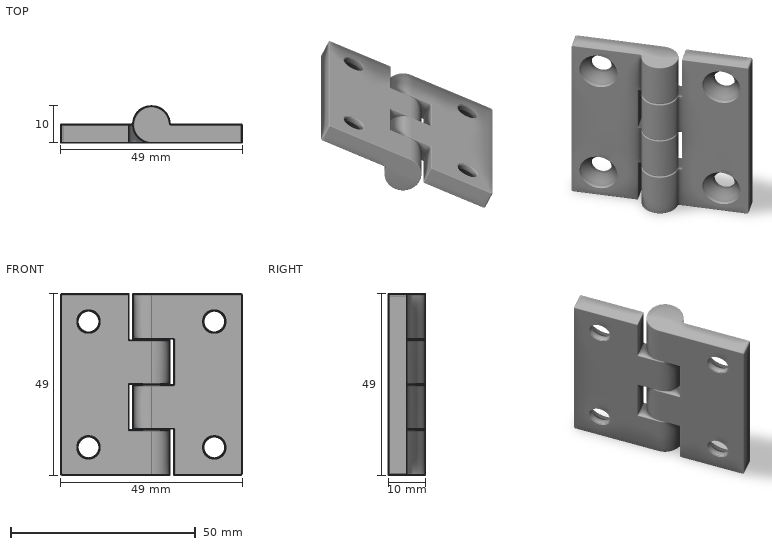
import cadquery as cq
SIDE = 49.0
BARREL_RADIUS = 5.0
LEAF_THICKNESS = BARREL_RADIUS
NOTCH_WALL = 6.1

INNER_KNUCKLE_START = 0.1
INNER_KNUCKLE_END = 12.0
OUTER_KNUCKLE_START = 12.3

PIN_RADIUS = 2.5
PIN_END_COVER = 1.95

HOLE_SPACING = 34.0
HOLE_RADIUS = 2.9
HEAD_RADIUS = 5.25
HEAD_DEPTH = 1.05

CORNER_RADIUS = 0.5
ROOT_RADIUS = 0.5
EDGE_RADIUS = 0.2

HALF = SIDE / 2
FRONT = -BARREL_RADIUS
BACK = FRONT + LEAF_THICKNESS
PIN_HALF_LENGTH = HALF - PIN_END_COVER
HOLE_OFFSET = HOLE_SPACING / 2
SELECTION_MARGIN = 0.05


def cylinder_on_axis(radius, z_start, z_end):
    """Cylinder around the hinge axis."""
    return cq.Workplane("XY").workplane(offset=z_start).circle(radius).extrude(z_end - z_start)


def slab(x_start, z_start, z_end):
    """Flat piece of the leaf from x_start to its outer side."""
    size = (HALF - x_start, LEAF_THICKNESS, z_end - z_start)
    return cq.Workplane("XY").box(*size, centered=False).translate((x_start, FRONT, z_start))


def edges_between(direction, x_start, x_end):
    """Selector for straight edges along a direction with their middle between two X positions."""
    low = (x_start - SELECTION_MARGIN, FRONT - SELECTION_MARGIN, -SIDE)
    high = (x_end + SELECTION_MARGIN, BACK + SELECTION_MARGIN, SIDE)
    parallel = cq.selectors.ParallelDirSelector(direction)
    return cq.selectors.AndSelector(parallel, cq.selectors.BoxSelector(low, high))


def leaf_blank():
    """Leaf plate with its two knuckles; only outline corners and barrel roots are rounded."""
    blank = slab(NOTCH_WALL, -HALF, HALF)
    knuckle_spans = ((OUTER_KNUCKLE_START, HALF), (-INNER_KNUCKLE_END, -INNER_KNUCKLE_START))
    for z_start, z_end in knuckle_spans:
        blank = blank.union(slab(0, z_start, z_end))
        blank = blank.union(cylinder_on_axis(BARREL_RADIUS, z_start, z_end))
    blank = blank.clean()
    blank = blank.edges("|Y and >X").fillet(CORNER_RADIUS)
    barrel_roots = edges_between(cq.Vector(0, 0, 1), BARREL_RADIUS, BARREL_RADIUS)
    return blank.edges(barrel_roots).fillet(ROOT_RADIUS)


def round_edges(blank):
    """Round every edge except the seams where faces already meet smoothly."""
    barrel_seams = edges_between(cq.Vector(0, 0, 1), 0, BARREL_RADIUS + ROOT_RADIUS)
    corner_seams = edges_between(cq.Vector(0, 1, 0), HALF - CORNER_RADIUS, HALF)
    seams = cq.selectors.SumSelector(barrel_seams, corner_seams)
    return blank.edges(cq.selectors.InverseSelector(seams)).fillet(EDGE_RADIUS)


def screw_hole(x, z):
    """Hole with a 90 degree countersink and a straight head recess, open at the back."""
    cone_end = BACK - HEAD_DEPTH
    cone_start = cone_end - (HEAD_RADIUS - HOLE_RADIUS)
    profile = (
        cq.Workplane("XY")
        .moveTo(0, FRONT)
        .lineTo(HOLE_RADIUS + EDGE_RADIUS, FRONT)
        .radiusArc((HOLE_RADIUS, FRONT + EDGE_RADIUS), -EDGE_RADIUS)
        .lineTo(HOLE_RADIUS, cone_start)
        .lineTo(HEAD_RADIUS, cone_end)
        .lineTo(HEAD_RADIUS, BACK)
        .lineTo(0, BACK)
        .close()
    )
    return profile.revolve(360, (0, 0, 0), (0, 1, 0)).translate((x, 0, z))


def hinge_pin():
    """Pin on the hinge axis; the bore in the leaves has the same shape."""
    return cylinder_on_axis(PIN_RADIUS, -PIN_HALF_LENGTH, PIN_HALF_LENGTH)


def hinge_leaf():
    """Leaf on the +X side, with its pin bore and screw holes."""
    leaf = round_edges(leaf_blank()).cut(hinge_pin())
    for z in (-HOLE_OFFSET, HOLE_OFFSET):
        leaf = leaf.cut(screw_hole(HOLE_OFFSET, z))
    return leaf


leaves = [hinge_leaf().rotate((0, 0, 0), (0, 1, 0), angle) for angle in (0, 180)]
pin = hinge_pin()

result = cq.Compound.makeCompound([*(leaf.solids().val() for leaf in leaves), pin.val()])